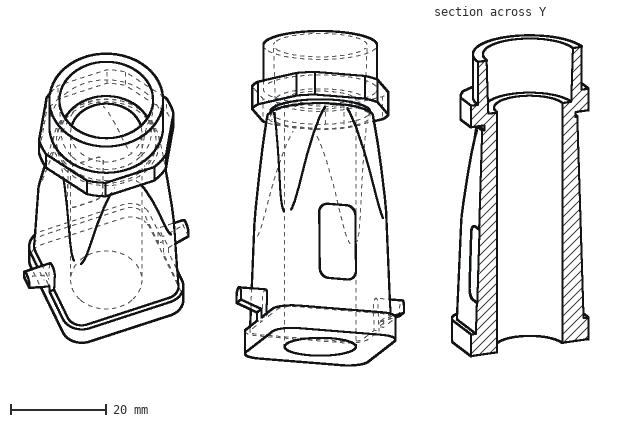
import cadquery as cq
import math

TOTAL_HEIGHT = 65.5
BASE_TOP = 4.9
BODY_TOP = 50.05
NUT_BOTTOM = 51.0
NUT_TOP = 55.95

BASE_WIDTH = 27.0
BASE_CORNER_RADIUS = 4.3

BODY_BOTTOM_WIDTH = 24.8
BODY_TOP_WIDTH = 21.95
BODY_CORNER_RADIUS = 3.15
CONE_TOP_RADIUS = 11.15
CONE_GROWTH = 0.17

NECK_DIAMETER = 21.0
NUT_ACROSS_FLATS = BASE_WIDTH
NUT_CORNER_DIAMETER = 29.15
COLLAR_DIAMETER = 24.0

SOCKET_TOP_DIAMETER = 19.7
SOCKET_BOTTOM_DIAMETER = 18.9
SOCKET_DEPTH = 11.9
THROUGH_DIAMETER = 15.0

PIN_DIAMETER = 3.1
PIN_SPAN = 36.0
PIN_TOP = 11.45
PIN_TIP_BOTTOM = 8.45
PIN_WEB_TOP = 6.75

PANEL_WIDTH = 8.0
PANEL_BOTTOM = 11.8
PANEL_TOP = 28.05
PANEL_CORNER_RADIUS = 1.95
PANEL_DEPTH = 0.1


def disc(diameter, bottom, top):
    return cq.Workplane("XY").workplane(offset=bottom).circle(diameter / 2).extrude(top - bottom)


def make_base():
    base = cq.Workplane("XY").rect(BASE_WIDTH, BASE_WIDTH).extrude(BASE_TOP)
    return base.edges("|Z").fillet(BASE_CORNER_RADIUS)


def body_draft_angle():
    side_step = (BODY_BOTTOM_WIDTH - BODY_TOP_WIDTH) / 2
    return math.degrees(math.atan2(side_step, BODY_TOP - BASE_TOP))


def make_body():
    height = BODY_TOP - BASE_TOP
    body = (
        cq.Workplane("XY")
        .workplane(offset=BASE_TOP)
        .rect(BODY_BOTTOM_WIDTH, BODY_BOTTOM_WIDTH)
        .extrude(height, taper=body_draft_angle())
    )
    body = body.edges("not #Z").fillet(BODY_CORNER_RADIUS)
    cone_bottom_radius = CONE_TOP_RADIUS + CONE_GROWTH * height
    cone = (
        cq.Workplane("XY")
        .workplane(offset=BASE_TOP)
        .circle(cone_bottom_radius)
        .workplane(offset=height)
        .circle(CONE_TOP_RADIUS)
        .loft()
    )
    return body.intersect(cone)


def make_panel_cutter():
    middle = (PANEL_BOTTOM + PANEL_TOP) / 2
    draft = math.radians(body_draft_angle())
    face_x = -BODY_BOTTOM_WIDTH / 2 + (middle - BASE_TOP) * math.tan(draft)
    outward = (-math.cos(draft), 0, math.sin(draft))
    face = cq.Plane(origin=(face_x, 0, middle), xDir=(0, 1, 0), normal=outward)
    panel_length = (PANEL_TOP - PANEL_BOTTOM) / math.cos(draft)
    outline = cq.Sketch().rect(PANEL_WIDTH, panel_length).vertices().fillet(PANEL_CORNER_RADIUS)
    return (
        cq.Workplane(face)
        .workplane(offset=-PANEL_DEPTH)
        .placeSketch(outline)
        .extrude(2 * PANEL_DEPTH)
    )


def make_pins():
    radius = PIN_DIAMETER / 2
    half_base = BASE_WIDTH / 2
    half_span = PIN_SPAN / 2
    bar = (
        cq.Workplane("XZ")
        .moveTo(-radius, 0)
        .lineTo(-radius, PIN_TOP - radius)
        .threePointArc((0, PIN_TOP), (radius, PIN_TOP - radius))
        .lineTo(radius, 0)
        .close()
        .extrude(half_span, both=True)
    )
    side_outline = (
        cq.Workplane("YZ")
        .polyline([
            (-half_base, 0),
            (-half_base, PIN_WEB_TOP),
            (-half_span, PIN_TIP_BOTTOM),
            (-half_span, PIN_TOP),
            (half_span, PIN_TOP),
            (half_span, PIN_TIP_BOTTOM),
            (half_base, PIN_WEB_TOP),
            (half_base, 0),
        ])
        .close()
        .extrude(radius, both=True)
    )
    return bar.intersect(side_outline)


def make_nut():
    across_corners = NUT_ACROSS_FLATS / math.cos(math.radians(30))
    hexagon = (
        cq.Workplane("XY")
        .workplane(offset=NUT_BOTTOM)
        .polygon(6, across_corners)
        .extrude(NUT_TOP - NUT_BOTTOM)
        .rotate((0, 0, 0), (0, 0, 1), 30)
    )
    return hexagon.intersect(disc(NUT_CORNER_DIAMETER, NUT_BOTTOM, NUT_TOP))


def make_socket():
    return (
        cq.Workplane("XY")
        .workplane(offset=TOTAL_HEIGHT - SOCKET_DEPTH)
        .circle(SOCKET_BOTTOM_DIAMETER / 2)
        .workplane(offset=SOCKET_DEPTH)
        .circle(SOCKET_TOP_DIAMETER / 2)
        .loft()
    )


neck = disc(NECK_DIAMETER, BODY_TOP, NUT_BOTTOM)
collar = disc(COLLAR_DIAMETER, NUT_TOP, TOTAL_HEIGHT)

result = (
    make_body()
    .cut(make_panel_cutter())
    .union(make_base())
    .union(make_pins())
    .union(neck)
    .union(make_nut())
    .union(collar)
    .cut(make_socket())
    .cut(disc(THROUGH_DIAMETER, 0, TOTAL_HEIGHT))
)